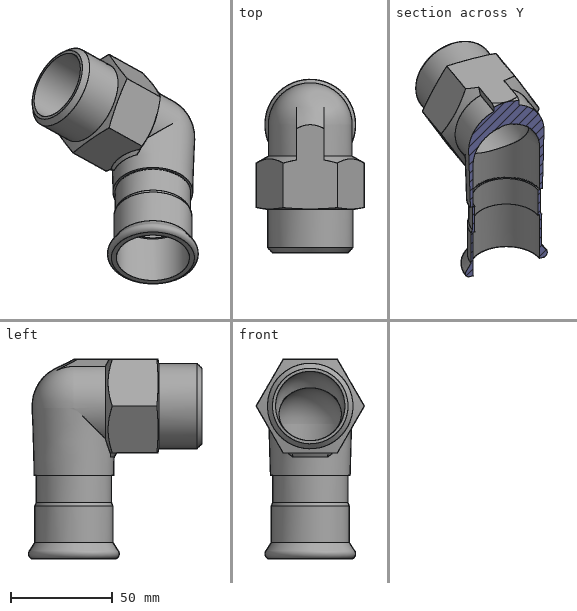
import cadquery as cq
import math

total_height = 98.0
corner_width = 53.1
flat_radius = corner_width / 2 * math.cos(math.radians(30))
base_z = flat_radius - total_height

elbow_radius = 20.6
elbow_length = 15.4
elbow_bottom_radius = 19.6
elbow_bottom_z = -34.0

neck_radius = 37.0 / 2
socket_radius = 38.4 / 2
neck_end_z = -47.3
socket_start_z = -49.1
bead_start_z = -66.9
bead_shoulder_z = -70.7
bead_shoulder_radius = 21.6
bead_radius = 22.295
bead_middle_z = -72.3
bead_base_radius = 20.4

hex_front_y = -41.65
back_chamfer_angle = 30.0
front_chamfer_angle = 10.0
end_y = bead_radius - 85.2
male_radius = 41.9 / 2
male_tip_radius = 37.0 / 2
male_chamfer_length = 2.5

rib_width = 13.7
rib_cone_length = 9.1
rib_cone_end_radius = 18.4
web_bottom_z = -25.1
web_bottom_radius = 19.8
web_top_radius = 21.1
web_back_y = -17.9

male_bore_radius = 34.0 / 2
bore_end_y = -14.2
elbow_bore_radius = 35.9 / 2
elbow_dome_z = -9.0
neck_bore_radius = 34.0 / 2
socket_bore_radius = 35.9 / 2


def cylinder_y(radius, start_y, front_y):
    """Cylinder along Y from start_y toward -Y to front_y."""
    disc = cq.Workplane("XZ", origin=(0, start_y, 0)).circle(radius)
    return disc.extrude(start_y - front_y)


def turn_y(points):
    """Turn a closed (radius, y) outline about the Y axis."""
    return cq.Workplane("XY").polyline(points).close().revolve(360, (0, 0, 0), (0, 1, 0))


def cylinder_z(radius, bottom_z, top_z):
    return cq.Workplane("XY", origin=(0, 0, bottom_z)).circle(radius).extrude(top_z - bottom_z)


def make_elbow():
    ball = cq.Workplane("XY").sphere(elbow_radius)
    branch = cylinder_y(elbow_radius, 0, -elbow_length)
    leg = (
        cq.Workplane("XY", origin=(0, 0, elbow_bottom_z)).circle(elbow_bottom_radius)
        .workplane(offset=-elbow_bottom_z).circle(elbow_radius).loft()
    )
    return ball.union(branch).union(leg)


def make_socket():
    profile = (
        cq.Workplane("XZ").moveTo(0, elbow_bottom_z)
        .lineTo(neck_radius, elbow_bottom_z)
        .lineTo(neck_radius, neck_end_z)
        .lineTo(socket_radius, socket_start_z)
        .lineTo(socket_radius, bead_start_z)
        .lineTo(bead_shoulder_radius, bead_shoulder_z)
        .threePointArc((bead_radius, bead_middle_z), (bead_base_radius, base_z))
        .lineTo(0, base_z).close()
    )
    return profile.revolve(360, (0, 0, 0), (0, 1, 0))


def make_hexagon():
    hexagon = (
        cq.Workplane("XZ", origin=(0, -elbow_length, 0))
        .polygon(6, corner_width).extrude(-elbow_length - hex_front_y)
    )
    corner_radius = corner_width / 2
    back_chamfer = (corner_radius - elbow_radius) * math.tan(math.radians(back_chamfer_angle))
    front_chamfer = (corner_radius - male_radius) * math.tan(math.radians(front_chamfer_angle))
    envelope = turn_y([
        (0, -elbow_length),
        (elbow_radius, -elbow_length),
        (corner_radius, -elbow_length - back_chamfer),
        (corner_radius, hex_front_y + front_chamfer),
        (male_radius, hex_front_y),
        (0, hex_front_y),
    ])
    return hexagon.intersect(envelope)


def make_male_end():
    return turn_y([
        (0, hex_front_y),
        (male_radius, hex_front_y),
        (male_radius, end_y + male_chamfer_length),
        (male_tip_radius, end_y),
        (0, end_y),
    ])


def make_rib():
    """Flat-topped rib level with the hexagon, with a conical back end."""
    rib_front_y = -elbow_length - rib_cone_length
    bar = cq.Workplane("XY").box(
        rib_width, rib_cone_length - rib_front_y, flat_radius, centered=(True, False, False)
    ).translate((0, rib_front_y, 0))
    slope = (flat_radius - rib_cone_end_radius) / rib_cone_length
    rim_radius = corner_width / 2
    rim_y = (flat_radius - rim_radius) / slope
    envelope = turn_y([
        (0, rib_cone_length),
        (rib_cone_end_radius, rib_cone_length),
        (rim_radius, rim_y),
        (rim_radius, rib_front_y),
        (0, rib_front_y),
    ])
    return bar.intersect(envelope)


def make_web():
    """Sloping web joining the front of the pipe to the underside of the hexagon."""
    collar = (
        cq.Workplane("XY", origin=(0, 0, web_bottom_z)).circle(web_bottom_radius)
        .workplane(offset=-flat_radius - web_bottom_z).circle(web_top_radius).loft()
    )
    front = cq.Workplane("XY").box(
        corner_width, corner_width, total_height, centered=(True, False, True)
    ).translate((0, web_back_y - corner_width, 0))
    return collar.intersect(front)


def make_passages():
    male_bore = cylinder_y(male_bore_radius, bore_end_y, end_y)
    bore_end = cq.Workplane("XY", origin=(0, bore_end_y, 0)).sphere(male_bore_radius)
    elbow_bore = cylinder_z(elbow_bore_radius, elbow_bottom_z, elbow_dome_z)
    dome = cq.Workplane("XY", origin=(0, 0, elbow_dome_z)).sphere(elbow_bore_radius)
    neck_bore = cylinder_z(neck_bore_radius, socket_start_z, elbow_bottom_z)
    socket_bore = cylinder_z(socket_bore_radius, base_z, socket_start_z)
    return male_bore.union(bore_end).union(elbow_bore).union(dome).union(neck_bore).union(socket_bore)


body = make_elbow()
for section in (make_socket(), make_hexagon(), make_male_end(), make_rib(), make_web()):
    body = body.union(section)

result = body.cut(make_passages())